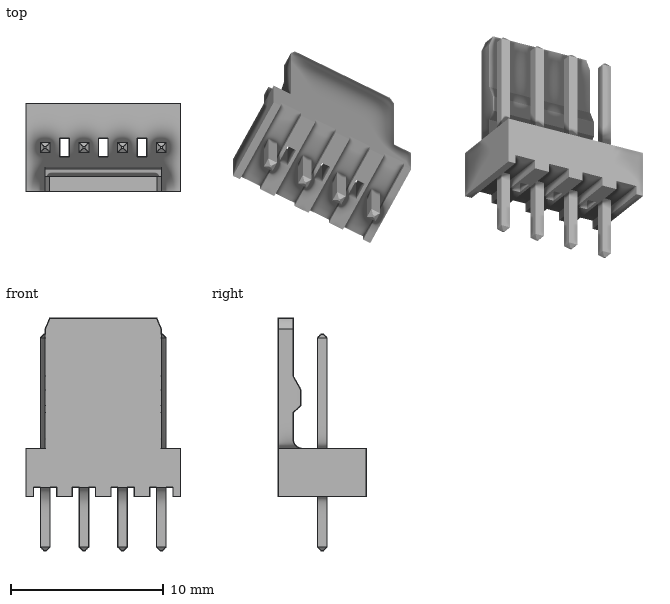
import cadquery as cq

PIN_COUNT = 4
PITCH = 2.54
PIN_WIDTH = 0.64
PIN_TIP_HEIGHT = 0.25
PIN_TIP_WIDTH = PIN_WIDTH - 2 * PIN_TIP_HEIGHT
PIN_ABOVE_BODY = 7.5
PIN_BELOW_BODY = 3.56

BODY_LENGTH = PIN_COUNT * PITCH
BODY_DEPTH = 5.8
BODY_HEIGHT = 3.16
BODY_FRONT = -BODY_DEPTH / 2

CHANNEL_WIDTH = 1.5
CHANNEL_HEIGHT = 0.6
SLOT_WIDTH = 0.6
SLOT_DEPTH = 1.2

WALL_LENGTH = (PIN_COUNT - 1) * PITCH
WALL_THICKNESS = 1.0
WALL_HEIGHT = 8.54
WALL_CORNER_WIDTH = 0.3
WALL_CORNER_HEIGHT = 0.7
WALL_ROOT_RADIUS = 0.6

BUMP_DEPTH = 0.5
BUMP_BOTTOM = 2.35
BUMP_FLAT_BOTTOM = 2.8
BUMP_FLAT_TOP = 3.84
BUMP_TOP = 4.74


def row_positions(count):
    """X positions of a row of features one pitch apart, centred on X = 0."""
    return [(i - (count - 1) / 2) * PITCH for i in range(count)]


def make_body():
    """Block with a full-depth channel under each pin and a through slot between pins."""
    body = cq.Workplane("XY").box(BODY_LENGTH, BODY_DEPTH, BODY_HEIGHT, centered=(True, True, False))
    for x in row_positions(PIN_COUNT):
        channel = cq.Workplane("XY").box(
            CHANNEL_WIDTH, BODY_DEPTH, CHANNEL_HEIGHT, centered=(True, True, False)
        )
        body = body.cut(channel.translate((x, 0, 0)))
    for x in row_positions(PIN_COUNT - 1):
        slot = cq.Workplane("XY").box(SLOT_WIDTH, SLOT_DEPTH, BODY_HEIGHT, centered=(True, True, False))
        body = body.cut(slot.translate((x, 0, 0)))
    return body


def cut_upper_corners(wall):
    """Bevel both upper ends of the wall, steeper than 45 degrees."""
    top = BODY_HEIGHT + WALL_HEIGHT
    for side in (-1, 1):
        end = side * WALL_LENGTH / 2
        corner = (
            cq.Workplane("XZ", origin=(0, BODY_FRONT, 0))
            .moveTo(end, top)
            .lineTo(end - side * WALL_CORNER_WIDTH, top)
            .lineTo(end, top - WALL_CORNER_HEIGHT)
            .close()
            .extrude(-WALL_THICKNESS)
        )
        wall = wall.cut(corner)
    return wall


def make_wall():
    """Locking wall: a YZ profile with root fillet and latch bump, extruded along X."""
    inner = BODY_FRONT + WALL_THICKNESS
    base = BODY_HEIGHT
    top = base + WALL_HEIGHT
    wall = (
        cq.Workplane("YZ", origin=(-WALL_LENGTH / 2, 0, 0))
        .moveTo(BODY_FRONT, base)
        .lineTo(BODY_FRONT, top)
        .lineTo(inner, top)
        .lineTo(inner, base + BUMP_TOP)
        .lineTo(inner + BUMP_DEPTH, base + BUMP_FLAT_TOP)
        .lineTo(inner + BUMP_DEPTH, base + BUMP_FLAT_BOTTOM)
        .lineTo(inner, base + BUMP_BOTTOM)
        .lineTo(inner, base + WALL_ROOT_RADIUS)
        .radiusArc((inner + WALL_ROOT_RADIUS, base), -WALL_ROOT_RADIUS)
        .close()
        .extrude(WALL_LENGTH)
    )
    return cut_upper_corners(wall)


def make_pin_tip(z_base, direction):
    """Pyramid point growing from z_base up (direction 1) or down (direction -1)."""
    return (
        cq.Workplane("XY", origin=(0, 0, z_base))
        .rect(PIN_WIDTH, PIN_WIDTH)
        .workplane(offset=direction * PIN_TIP_HEIGHT)
        .rect(PIN_TIP_WIDTH, PIN_TIP_WIDTH)
        .loft(ruled=True)
    )


def make_pin():
    """Square pin through the body, pointed at both ends."""
    shank_bottom = -PIN_BELOW_BODY + PIN_TIP_HEIGHT
    shank_top = BODY_HEIGHT + PIN_ABOVE_BODY - PIN_TIP_HEIGHT
    shank = (
        cq.Workplane("XY", origin=(0, 0, shank_bottom))
        .rect(PIN_WIDTH, PIN_WIDTH)
        .extrude(shank_top - shank_bottom)
    )
    return shank.union(make_pin_tip(shank_top, 1)).union(make_pin_tip(shank_bottom, -1))


result = make_body().union(make_wall())
pin = make_pin()
for pin_x in row_positions(PIN_COUNT):
    result = result.union(pin.translate((pin_x, 0, 0)))